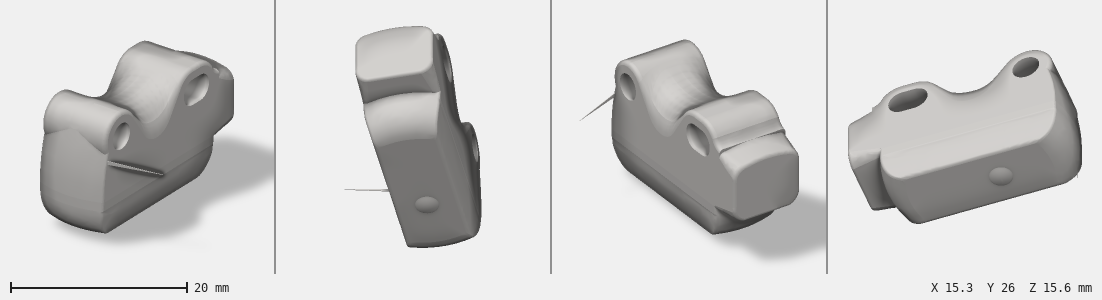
import cadquery as cq
import math

width = 9.02
width_with_sliver = 15.3
length = 26.0
height = 15.57
edge_round = 0.52
half_width = width / 2

trim_margin = 0.003

lug_radius = 3.07
lug_z = height - lug_radius
front_lug_y = 4.4
slot_travel = 1.5
rear_lug_y = 17.88
rear_lug_end_y = rear_lug_y + slot_travel
hole_diameter = 3.25

saddle_crest_z = 13.57
saddle_side_z = 9.4
saddle_crest_half_width = 0.73
saddle_roll_width = half_width + trim_margin - saddle_crest_half_width
saddle_crest_tightness = 0.98
saddle_side_tightness = 0.67
stretch_steps = 4

block_length = 22.9
block_bottom_z = 0.35
block_corner_y = 2.85
block_side_z = 4.25
block_shoulder_z = 5.43
nose_top_z = 13.57
nose_top_inset = 1.53
taper_inset = 0.88
block_round = 0.35
block_steps = 8
nose_steps = 4

arm_root_y = 21.83
arm_bottom_z = 4.89
arm_end_top_z = 12.53
arm_root_top_z = 13.51
arm_arch = 0.4
arm_root_corner = 0.65
arm_end_corner_width = 1.45
arm_end_corner_height = 2.2
arm_end_round = 0.36
arm_end_steps = 4

blend_angle = 35.0
blend_end = (23.0, 13.25)
blend_sag = 0.15
body_back_y = 22.1

button_y = 9.05
button_radius = 1.38
sliver_tip = (width_with_sliver - half_width, 3.77, 9.77)
sliver_root_x = 2.6
sliver_root_y = 1.12
sliver_root_z = (10.03, 10.63)
sliver_thickness = 0.08


def trim_sides(solid):
    """Cut a slightly wide solid to the exact side planes."""
    return solid.intersect(cq.Workplane("XY").box(width, 3 * length, 3 * length))


def lug_point(center_y, radius, angle):
    """Point in YZ on a lug circle, at an angle in degrees from +Y."""
    turn = math.radians(angle)
    return center_y + radius * math.cos(turn), lug_z + radius * math.sin(turn)


def body_section(roll):
    """Closed YZ outline of the lug body at the X position of a roll angle in degrees.

    The roll goes from 0 at the crest, where the saddle is shallow, to 90 at the side face.
    """
    turn = math.radians(roll)
    x = saddle_crest_half_width + saddle_roll_width * math.sin(turn)
    bottom_z = saddle_side_z + (saddle_crest_z - saddle_side_z) * math.cos(turn)
    tightness = saddle_side_tightness + (saddle_crest_tightness - saddle_side_tightness) * math.cos(turn)

    past_flat = max(0, x - (half_width + trim_margin - edge_round))
    past_flat = min(past_flat, edge_round)
    inset = edge_round - math.sqrt(edge_round**2 - past_flat**2)
    radius = lug_radius - inset
    lug_top_z = lug_z + radius

    half_span = (rear_lug_y - front_lug_y) / 2
    rise = bottom_z - lug_z
    saddle_radius = tightness * (half_span**2 + rise**2 - radius**2) / (2 * (radius - rise))
    lift = rise + saddle_radius
    swing = math.acos((radius + saddle_radius) / math.hypot(half_span, lift))
    touch_turn = math.atan2(lift, half_span) + swing
    touch_angle = math.degrees(touch_turn)
    flank_angle = (90 + touch_angle) / 2
    middle_y = front_lug_y + half_span
    saddle_reach = saddle_radius * math.cos(touch_turn)
    saddle_end_z = lug_z + lift - saddle_radius * math.sin(touch_turn)

    lug_low = lug_point(front_lug_y, radius, 225)
    blend_start = lug_point(rear_lug_end_y, radius, blend_angle)
    blend_stop = (blend_end[0], blend_end[1] - inset)
    blend_mid = (
        (blend_start[0] + blend_stop[0]) / 2 - blend_sag,
        (blend_start[1] + blend_stop[1]) / 2 - blend_sag,
    )
    outline = (
        cq.Workplane("YZ", origin=(x, 0, 0))
        .moveTo(lug_low[0], block_shoulder_z)
        .lineTo(*lug_low)
        .threePointArc(lug_point(front_lug_y, radius, 135), (front_lug_y, lug_top_z))
        .threePointArc(
            lug_point(front_lug_y, radius, flank_angle),
            lug_point(front_lug_y, radius, touch_angle),
        )
        .lineTo(middle_y - saddle_reach, saddle_end_z)
        .threePointArc((middle_y, bottom_z), (middle_y + saddle_reach, saddle_end_z))
        .lineTo(*lug_point(rear_lug_y, radius, 180 - touch_angle))
        .threePointArc(lug_point(rear_lug_y, radius, 180 - flank_angle), (rear_lug_y, lug_top_z))
        .lineTo(rear_lug_end_y, lug_top_z)
        .threePointArc(lug_point(rear_lug_end_y, radius, (90 + blend_angle) / 2), blend_start)
        .threePointArc(blend_mid, blend_stop)
        .lineTo(body_back_y, block_shoulder_z)
        .close()
    )
    return outline.val()


def body_stretch(first_roll, last_roll):
    """Lofted stretch of the +X half of the lug body between two roll angles."""
    roll_step = (last_roll - first_roll) / stretch_steps
    sections = [body_section(first_roll + step * roll_step) for step in range(stretch_steps + 1)]
    return cq.Workplane(cq.Solid.makeLoft(sections))


def lug_body():
    """Both lugs, the saddle between them and the blend to the tail arm."""
    crest_face = cq.Face.makeFromWires(body_section(0))
    crest = cq.Solid.extrudeLinear(crest_face, cq.Vector(-2 * saddle_crest_half_width, 0, 0))
    edge_roll = math.degrees(math.asin(1 - edge_round / saddle_roll_width))
    inner = body_stretch(0, edge_roll)
    outer = body_stretch(edge_roll, 90)
    half = inner.union(outer)
    return trim_sides(half.union(cq.Workplane(crest)).union(half.mirror("YZ")))


def block_section(z, inset):
    """Closed XY outline of the block at one height; inset is how far its ends draw in."""
    middle_y = block_length / 2
    end_radius = middle_y - inset
    depth = max(0, block_shoulder_z - z)
    half = half_width + trim_margin - taper_inset * (depth / (block_shoulder_z - block_bottom_z)) ** 2
    bottom_depth = max(0, block_bottom_z + block_round - z)
    half -= block_round - math.sqrt(block_round**2 - bottom_depth**2)
    corner_reach = math.sqrt(end_radius**2 - half**2)
    outline = (
        cq.Workplane("XY", origin=(0, middle_y, z))
        .moveTo(half, -corner_reach)
        .lineTo(half, corner_reach)
        .threePointArc((0, end_radius), (-half, corner_reach))
        .lineTo(-half, -corner_reach)
        .threePointArc((0, -end_radius), (half, -corner_reach))
        .close()
    )
    wire = outline.val()
    return wire.fillet2D(block_round, wire.Vertices())


def barrel_block():
    """Block with barrel-curved nose and tail and sides that draw in toward the bottom."""
    corner_height = block_side_z - block_bottom_z
    low_sections = []
    for step in range(block_steps + 1):
        turn = math.pi / 2 * (1 - step / block_steps)
        z = block_side_z - corner_height * math.sin(turn)
        low_sections.append(block_section(z, block_corner_y * (1 - math.cos(turn))))
    belt_sections = [low_sections[-1], block_section(block_shoulder_z, 0)]

    nose_height = nose_top_z - block_shoulder_z
    nose_sections = []
    for step in range(nose_steps + 1):
        share = step / nose_steps
        nose_sections.append(block_section(block_shoulder_z + share * nose_height, nose_top_inset * share**2))
    low = cq.Workplane(cq.Solid.makeLoft(low_sections))
    belt = cq.Workplane(cq.Solid.makeLoft(belt_sections, True))
    ahead_of_hole = cq.Workplane("XY").box(2 * width, 2 * front_lug_y, 2 * length)
    nose = cq.Workplane(cq.Solid.makeLoft(nose_sections)).intersect(ahead_of_hole)
    return trim_sides(low.union(belt).union(nose))


def arm_corner(y):
    """Top, corner width and corner height of the tail arm at one Y, all changing evenly along it."""
    share = (y - arm_root_y) / (length - arm_root_y)
    top_z = arm_root_top_z + (arm_end_top_z - arm_root_top_z) * share
    corner_width = arm_root_corner + (arm_end_corner_width - arm_root_corner) * share
    corner_height = arm_root_corner + (arm_end_corner_height - arm_root_corner) * share
    return top_z, corner_width, corner_height


def arm_section(y, inset=0):
    """Closed XZ outline with four quarter-oval corners, drawn in all round by the inset."""
    top_z, corner_width, corner_height = arm_corner(y)
    side_x = half_width + trim_margin - inset
    top_z = top_z - inset
    bottom_z = arm_bottom_z + inset
    inner_x = half_width - corner_width
    side_top = top_z + inset - corner_height
    side_bottom = arm_bottom_z + corner_height
    shoulder_z = top_z - arm_arch
    slope = math.sqrt(0.5)
    mid_x = inner_x + (side_x - inner_x) * slope
    top_rise = (shoulder_z - side_top) * slope
    bottom_drop = (side_bottom - bottom_z) * slope
    outline = (
        cq.Workplane("XZ", origin=(0, y, 0))
        .moveTo(-inner_x, bottom_z)
        .lineTo(inner_x, bottom_z)
        .threePointArc((mid_x, side_bottom - bottom_drop), (side_x, side_bottom))
        .lineTo(side_x, side_top)
        .threePointArc((mid_x, side_top + top_rise), (inner_x, shoulder_z))
        .threePointArc((0, top_z), (-inner_x, shoulder_z))
        .threePointArc((-mid_x, side_top + top_rise), (-side_x, side_top))
        .lineTo(-side_x, side_bottom)
        .threePointArc((-mid_x, side_bottom - bottom_drop), (-inner_x, bottom_z))
        .close()
    )
    return outline.val()


def tail_arm():
    """Arm whose corners grow rounder toward its rounded free end."""
    end_sections = []
    for step in range(arm_end_steps + 1):
        turn = math.pi / 2 * step / arm_end_steps
        y = length - arm_end_round * (1 - math.sin(turn))
        end_sections.append(arm_section(y, arm_end_round * (1 - math.cos(turn))))
    arm = cq.Workplane(cq.Solid.makeLoft([arm_section(arm_root_y), end_sections[0]], True))
    return trim_sides(arm.union(cq.Workplane(cq.Solid.makeLoft(end_sections))))


def foot_button():
    """Low spherical cap under the block."""
    sphere_radius = (button_radius**2 + block_bottom_z**2) / (2 * block_bottom_z)
    ball = cq.Workplane("XY").sphere(sphere_radius).translate((0, button_y, sphere_radius))
    keep = cq.Workplane("XY").box(width, width, 2 * block_bottom_z).translate((0, button_y, block_bottom_z))
    return ball.intersect(keep)


def side_sliver():
    """Thin pointed fin standing out from the +X side of the nose."""
    tip_x, tip_y, tip_z = sliver_tip
    run_x = tip_x - sliver_root_x
    run_y = tip_y - sliver_root_y
    run = math.hypot(run_x, run_y)
    plane = cq.Plane(
        origin=(sliver_root_x, sliver_root_y, 0),
        xDir=(run_x, run_y, 0),
        normal=(run_y, -run_x, 0),
    )
    outline = [(0, sliver_root_z[0]), (run, tip_z), (0, sliver_root_z[1])]
    return cq.Workplane(plane).polyline(outline).close().extrude(-sliver_thickness)


def pin_holes():
    """Round front hole and rear slot through the full width."""
    start = cq.Workplane("YZ", origin=(-half_width, 0, 0))
    round_hole = start.center(front_lug_y, lug_z).circle(hole_diameter / 2).extrude(width)
    slot_y = rear_lug_y + slot_travel / 2
    slot = start.center(slot_y, lug_z).slot2D(slot_travel + hole_diameter, hole_diameter).extrude(width)
    return round_hole.union(slot)


result = (
    lug_body()
    .union(barrel_block())
    .union(tail_arm())
    .cut(pin_holes())
    .union(foot_button())
    .union(side_sliver())
)